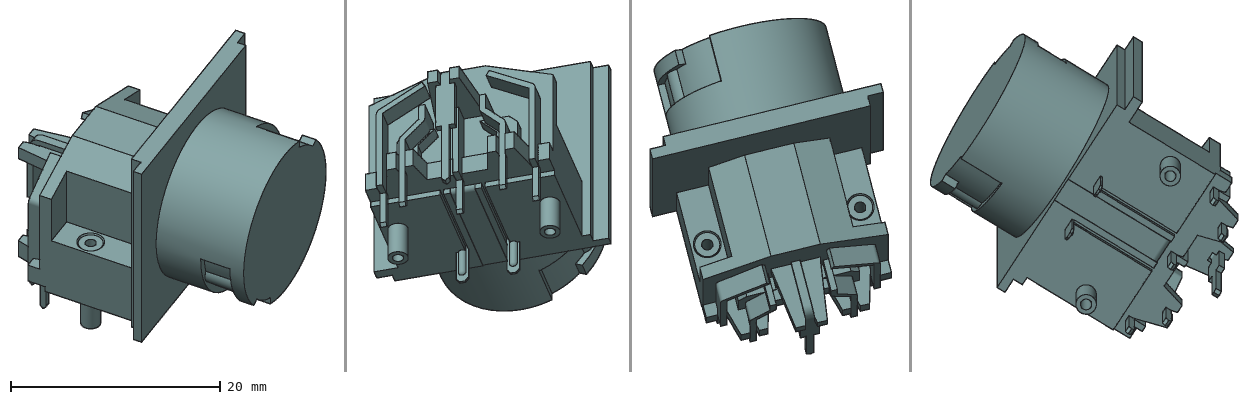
import cadquery as cq
import math


TOTAL_HEIGHT = 24.7

FLANGE_TOP = 21.06
FLANGE_STEP_X = 1.0
FLANGE_FRONT_X = 1.9
FLANGE_WIDE_SIDE = 11.5
FLANGE_NARROW_SIDE = 9.95

BARREL_DIAMETER = 17.0
BARREL_Z = 10.07
BARREL_END_X = 11.33
SLOT_FLOOR_RADIUS = 7.78
SLOT_REAR_X = 6.7
LIP_REAR_X = 9.85
SLOT_END_Y = 3.0
LIP_END_Y = 6.45
LIP_END_DROP = 5.58
LIP_END_ANGLE = math.radians(24)
DETENT_DIAMETER = 2.4
DETENT_ORBIT_RADIUS = 7.03
DETENT_ANGLE = math.radians(24.7)

BODY_REAR_X = -10.32
BODY_HALF_WIDTH = 9.12
BODY_TOP = 14.28
BODY_TOP_HALF_WIDTH = 2.43
BODY_SHOULDER = 11.8
POCKET_REAR_X = -9.07
POCKET_WALL_Y = 5.97
POCKET_FLOOR = 6.6
UNDERCUT_X = -9.75
UNDERCUT_TOP = 0.59
GROOVE_HALF_WIDTH = 1.23
GROOVE_DEPTH = 0.08
CLIP_GROOVE_INNER_Y = 1.87
CLIP_GROOVE_OUTER_Y = 2.23

POST_X = -5.65
POST_Y = 7.53
POST_DIAMETER = 1.95
POST_BORE = 1.05
POST_BOTTOM = -3.45
RECESS_DIAMETER = 2.4
RECESS_RIM_DIAMETER = 2.65
RECESS_DEPTH = 0.125

BAR_REAR_X = -11.6
COMB_TIP_X = -14.1
COMB_TOP = 2.57
MOUTH_DEPTH = 0.59
MOUTH_FLARE = 0.15
INNER_TOOTH_BASE_Y = 2.99
INNER_TOOTH_TIP_Y = 3.68
OUTER_TOOTH_BASE_X = -10.75
OUTER_TOOTH_TIP_Y = 6.33

SUPPORT_INNER_Y = 2.23
SUPPORT_LEG_Y = 3.9
SUPPORT_CHAMFER = 0.85

SHELF_TIP_X = -16.57
SHELF_BOTTOM = 8.25
SHELF_TOP = 9.65
SHELF_TIP_HALF_WIDTH = 1.55

PIN_THICKNESS = 0.6
PIN_TIP_HEIGHT = 0.33
PIN_BOTTOM = -3.45
WALL_PIN_REAR_X = -12.22
WALL_PLATE_BOTTOM = 0.42
WALL_TAIL_X = BODY_REAR_X - PIN_THICKNESS
OUTER_PIN_INNER_Y = 7.25
OUTER_PIN_BEND_Z = 9.1
OUTER_PIN_SLANT_LENGTH = 4.88
OUTER_PIN_SLANT = math.radians(30)
INNER_PIN_REAR_X = -13.48
INNER_PIN_INNER_Y = 4.65
INNER_PIN_BEND_Z = 4.4
INNER_PIN_TOP_Y = 3.32
INNER_PLATE_BOTTOM = 3.05
CENTRE_PIN_REAR_X = -15.95
CENTRE_PIN_TOP = 10.32
CENTRE_PIN_BEND_RADIUS = 1.05
CENTRE_PIN_HALF_WIDTH = 0.45
CENTRE_PLATE_HALF_WIDTH = 0.95
CENTRE_PLATE_BOTTOM = 3.26
CENTRE_TAIL_HALF_WIDTH = 0.35

CLIP_Y = 2.55
CLIP_REAR_X = -0.75
CLIP_FRONT_X = -0.53
CLIP_HALF_WIDTH = 0.6
CLIP_TIP_HALF_WIDTH = 0.28
CLIP_SHOULDER = -3.2
CLIP_BOTTOM = FLANGE_TOP - TOTAL_HEIGHT
BEAD_RADIUS = 0.42
BEAD_REAR_X = -1.0
BEAD_END_Z = -2.48


def box(x_range, y_range, z_range):
    """Axis-aligned block between the given pairs of limits."""
    limits = (x_range, y_range, z_range)
    size = [high - low for low, high in limits]
    return cq.Workplane().box(*size, centered=False).translate([low for low, _ in limits])


def plane_at(x):
    """Workplane for (Y, Z) outlines at the given X, extruding toward +X."""
    return cq.Workplane("YZ", origin=(x, 0, 0))


def cylinder_x(diameter, x_start, x_end):
    """Cylinder about the X axis."""
    return plane_at(x_start).circle(diameter / 2).extrude(x_end - x_start)


def prism_x(outline, x_start, x_end):
    """Prism along X over a (Y, Z) outline."""
    return plane_at(x_start).polyline(outline).close().extrude(x_end - x_start)


def prism_z(outline, z_start, z_end):
    """Prism along Z over an (X, Y) outline."""
    return cq.Workplane(origin=(0, 0, z_start)).polyline(outline).close().extrude(z_end - z_start)


def both_sides(part):
    """The part together with its mirror image across Y = 0."""
    return part.union(part.mirror("XZ"))


def polar(point, distance, angle):
    """Point at a distance and an angle from the given point."""
    return (point[0] + distance * math.cos(angle), point[1] + distance * math.sin(angle))


def make_flange():
    rear = box((0, FLANGE_STEP_X), (-FLANGE_NARROW_SIDE, FLANGE_WIDE_SIDE), (0, FLANGE_TOP))
    front = box((FLANGE_STEP_X, FLANGE_FRONT_X), (-FLANGE_WIDE_SIDE, FLANGE_NARROW_SIDE), (0, FLANGE_TOP))
    return rear.union(front)


def make_bayonet_slot():
    """L-shaped slot on the lower -Y side, relative to the barrel axis."""
    reach = BARREL_DIAMETER / 2
    run = (LIP_END_Y - SLOT_END_Y) / 2
    lip_inner = (-LIP_END_Y + run, -LIP_END_DROP + run * math.tan(LIP_END_ANGLE))
    lip_outer = (-reach, -LIP_END_DROP - (reach - LIP_END_Y) * math.tan(LIP_END_ANGLE))
    turn = box((SLOT_REAR_X, LIP_REAR_X), (-reach, -SLOT_END_Y), (-reach, 0))
    entrance = prism_x(
        [lip_inner, lip_outer, (-reach, -reach), (-SLOT_END_Y, -reach), (-SLOT_END_Y, lip_inner[1])],
        LIP_REAR_X, BARREL_END_X,
    )
    core = cylinder_x(2 * SLOT_FLOOR_RADIUS, SLOT_REAR_X, BARREL_END_X)
    detent_y, detent_z = polar((0, 0), DETENT_ORBIT_RADIUS, math.pi + DETENT_ANGLE)
    detent = cylinder_x(DETENT_DIAMETER, SLOT_REAR_X, LIP_REAR_X).translate((0, detent_y, detent_z))
    return turn.union(entrance).cut(core).cut(detent)


def make_barrel():
    barrel = cylinder_x(BARREL_DIAMETER, FLANGE_STEP_X, BARREL_END_X)
    slot = make_bayonet_slot()
    for turn in (0, 180):
        barrel = barrel.cut(slot.rotate((0, 0, 0), (1, 0, 0), turn))
    return barrel.translate((0, 0, BARREL_Z))


def make_body():
    half_outline = [(BODY_HALF_WIDTH, 0), (BODY_HALF_WIDTH, BODY_SHOULDER), (BODY_TOP_HALF_WIDTH, BODY_TOP)]
    outline = half_outline + [(-y, z) for y, z in reversed(half_outline)]
    body = prism_x(outline, BODY_REAR_X, 0)
    pocket = box((POCKET_REAR_X, 0), (POCKET_WALL_Y, BODY_HALF_WIDTH), (POCKET_FLOOR, BODY_TOP))
    undercut = box((BODY_REAR_X, UNDERCUT_X), (-BODY_HALF_WIDTH, BODY_HALF_WIDTH), (0, UNDERCUT_TOP))
    return body.cut(both_sides(pocket)).cut(undercut)


def make_bottom_grooves():
    """Shallow centre groove with a rounded rear edge, and a narrow groove beside each clip."""
    edge_radius = UNDERCUT_TOP - GROOVE_DEPTH
    groove = (
        cq.Workplane("XZ", origin=(0, GROOVE_HALF_WIDTH, 0))
        .moveTo(UNDERCUT_X, 0)
        .lineTo(FLANGE_FRONT_X, 0)
        .lineTo(FLANGE_FRONT_X, GROOVE_DEPTH)
        .lineTo(UNDERCUT_X + edge_radius, GROOVE_DEPTH)
        .radiusArc((UNDERCUT_X, UNDERCUT_TOP), edge_radius)
        .close()
        .extrude(2 * GROOVE_HALF_WIDTH)
    )
    clip_groove = box(
        (UNDERCUT_X, CLIP_REAR_X), (CLIP_GROOVE_INNER_Y, CLIP_GROOVE_OUTER_Y), (0, UNDERCUT_TOP)
    )
    return groove.union(both_sides(clip_groove))


def make_post():
    return (
        cq.Workplane(origin=(POST_X, POST_Y, POST_BOTTOM))
        .circle(POST_DIAMETER / 2)
        .extrude(-POST_BOTTOM)
    )


def make_post_cuts():
    """Through bore and the conical recess at its upper end."""
    bore = (
        cq.Workplane(origin=(POST_X, POST_Y, POST_BOTTOM))
        .circle(POST_BORE / 2)
        .extrude(POCKET_FLOOR - POST_BOTTOM)
    )
    recess = (
        cq.Workplane(origin=(POST_X, POST_Y, POCKET_FLOOR - RECESS_DEPTH))
        .circle(RECESS_DIAMETER / 2)
        .workplane(offset=RECESS_DEPTH)
        .circle(RECESS_RIM_DIAMETER / 2)
        .loft()
    )
    return bore.union(recess)


def make_comb_half():
    """Rear bar and two guide teeth on the +Y side, with flared mouths beside the pins."""
    outer_pin_outer_y = OUTER_PIN_INNER_Y + PIN_THICKNESS
    inner_pin_outer_y = INNER_PIN_INNER_Y + PIN_THICKNESS
    bar_mouth_x = BAR_REAR_X + MOUTH_DEPTH
    tooth_mouth_x = COMB_TIP_X + MOUTH_DEPTH
    slot_end_x = INNER_PIN_REAR_X + PIN_THICKNESS
    outline = [
        (UNDERCUT_X, 0),
        (BODY_REAR_X, 0),
        (BODY_REAR_X, PIN_THICKNESS / 2),
        (bar_mouth_x, PIN_THICKNESS / 2),
        (BAR_REAR_X, PIN_THICKNESS / 2 + MOUTH_FLARE),
        (BAR_REAR_X, INNER_TOOTH_BASE_Y),
        (COMB_TIP_X, INNER_TOOTH_TIP_Y),
        (COMB_TIP_X, INNER_PIN_INNER_Y - MOUTH_FLARE),
        (tooth_mouth_x, INNER_PIN_INNER_Y),
        (slot_end_x, INNER_PIN_INNER_Y),
        (slot_end_x, inner_pin_outer_y),
        (tooth_mouth_x, inner_pin_outer_y),
        (COMB_TIP_X, inner_pin_outer_y + MOUTH_FLARE),
        (COMB_TIP_X, OUTER_TOOTH_TIP_Y),
        (OUTER_TOOTH_BASE_X, OUTER_PIN_INNER_Y),
        (BODY_REAR_X, OUTER_PIN_INNER_Y),
        (BODY_REAR_X, outer_pin_outer_y),
        (bar_mouth_x, outer_pin_outer_y),
        (BAR_REAR_X, outer_pin_outer_y + MOUTH_FLARE),
        (BAR_REAR_X, BODY_HALF_WIDTH),
        (UNDERCUT_X, BODY_HALF_WIDTH),
    ]
    return prism_z(outline, UNDERCUT_TOP, COMB_TOP)


def make_pin_support():
    """Hook-shaped block behind the +Y inner pin."""
    leg_drop = SUPPORT_LEG_Y - SUPPORT_INNER_Y
    outline = [
        (SUPPORT_LEG_Y, UNDERCUT_TOP),
        (SUPPORT_LEG_Y, POCKET_FLOOR - leg_drop),
        (SUPPORT_INNER_Y, POCKET_FLOOR),
        (POCKET_WALL_Y - SUPPORT_CHAMFER, POCKET_FLOOR),
        (POCKET_WALL_Y, POCKET_FLOOR - SUPPORT_CHAMFER),
        (POCKET_WALL_Y, UNDERCUT_TOP),
    ]
    return prism_x(outline, BAR_REAR_X, BODY_REAR_X)


def make_shelf():
    slot_end_x = CENTRE_PIN_REAR_X + CENTRE_PIN_BEND_RADIUS
    half_outline = [
        (BODY_REAR_X, BODY_TOP_HALF_WIDTH),
        (SHELF_TIP_X, SHELF_TIP_HALF_WIDTH),
        (SHELF_TIP_X, CENTRE_PIN_HALF_WIDTH + MOUTH_FLARE),
        (SHELF_TIP_X + MOUTH_DEPTH, CENTRE_PIN_HALF_WIDTH),
        (slot_end_x, CENTRE_PIN_HALF_WIDTH),
    ]
    outline = half_outline + [(x, -y) for x, y in reversed(half_outline)]
    return prism_z(outline, SHELF_BOTTOM, SHELF_TOP)


def make_pin_tail(x_start, y_start, top):
    """Square tail hanging from top, ending in a wedge with its edge along Y."""
    x_end = x_start + PIN_THICKNESS
    outline = [
        (x_start, top),
        (x_start, PIN_BOTTOM + PIN_TIP_HEIGHT),
        ((x_start + x_end) / 2, PIN_BOTTOM),
        (x_end, PIN_BOTTOM + PIN_TIP_HEIGHT),
        (x_end, top),
    ]
    return (
        cq.Workplane("XZ", origin=(0, y_start + PIN_THICKNESS, 0))
        .polyline(outline)
        .close()
        .extrude(PIN_THICKNESS)
    )


def make_outer_pin():
    """Upright strip on the +Y side whose top leans inward over one bend."""
    inner_bend = (OUTER_PIN_INNER_Y, OUTER_PIN_BEND_Z)
    lean = math.pi - OUTER_PIN_SLANT
    across = lean - math.pi / 2
    slant_end = polar(inner_bend, OUTER_PIN_SLANT_LENGTH, lean)
    plate = (
        plane_at(WALL_PIN_REAR_X)
        .moveTo(OUTER_PIN_INNER_Y, WALL_PLATE_BOTTOM)
        .lineTo(*inner_bend)
        .lineTo(*slant_end)
        .lineTo(*polar(slant_end, PIN_THICKNESS, across))
        .lineTo(*polar(inner_bend, PIN_THICKNESS, across))
        .threePointArc(
            polar(inner_bend, PIN_THICKNESS, across / 2),
            (OUTER_PIN_INNER_Y + PIN_THICKNESS, OUTER_PIN_BEND_Z),
        )
        .lineTo(OUTER_PIN_INNER_Y + PIN_THICKNESS, WALL_PLATE_BOTTOM)
        .close()
        .extrude(BODY_REAR_X - WALL_PIN_REAR_X)
    )
    return plate.union(make_pin_tail(WALL_TAIL_X, OUTER_PIN_INNER_Y, WALL_PLATE_BOTTOM))


def make_inner_pin():
    """Upright strip on the +Y side, offset inward at its top by two 45 degree bends."""
    slant = math.radians(45)
    lower_bend = (INNER_PIN_INNER_Y, INNER_PIN_BEND_Z)
    lower_outer = polar(lower_bend, PIN_THICKNESS, slant)
    upper_bend = (INNER_PIN_TOP_Y, lower_outer[1] + lower_outer[0] - INNER_PIN_TOP_Y)
    plate = (
        plane_at(INNER_PIN_REAR_X)
        .moveTo(INNER_PIN_INNER_Y, INNER_PLATE_BOTTOM)
        .lineTo(*lower_bend)
        .lineTo(*polar(upper_bend, -PIN_THICKNESS, slant))
        .threePointArc(
            polar(upper_bend, -PIN_THICKNESS, slant / 2),
            (INNER_PIN_TOP_Y - PIN_THICKNESS, upper_bend[1]),
        )
        .lineTo(INNER_PIN_TOP_Y - PIN_THICKNESS, SHELF_BOTTOM)
        .lineTo(INNER_PIN_TOP_Y, SHELF_BOTTOM)
        .lineTo(*upper_bend)
        .lineTo(*lower_outer)
        .threePointArc(
            polar(lower_bend, PIN_THICKNESS, slant / 2),
            (INNER_PIN_INNER_Y + PIN_THICKNESS, INNER_PIN_BEND_Z),
        )
        .lineTo(INNER_PIN_INNER_Y + PIN_THICKNESS, INNER_PLATE_BOTTOM)
        .close()
        .extrude(BODY_REAR_X - INNER_PIN_REAR_X)
    )
    return plate.union(make_pin_tail(INNER_PIN_REAR_X, INNER_PIN_INNER_Y, INNER_PLATE_BOTTOM))


def make_centre_pin():
    """Strip running rearward over the shelf, bent down through its slot to a stepped tail."""
    front_x = CENTRE_PIN_REAR_X + PIN_THICKNESS
    bend_x = CENTRE_PIN_REAR_X + CENTRE_PIN_BEND_RADIUS
    bend_z = CENTRE_PIN_TOP - CENTRE_PIN_BEND_RADIUS
    inner_radius = CENTRE_PIN_BEND_RADIUS - PIN_THICKNESS
    strip = (
        cq.Workplane("XZ", origin=(0, CENTRE_PIN_HALF_WIDTH, 0))
        .moveTo(BODY_REAR_X, CENTRE_PIN_TOP)
        .lineTo(bend_x, CENTRE_PIN_TOP)
        .radiusArc((CENTRE_PIN_REAR_X, bend_z), -CENTRE_PIN_BEND_RADIUS)
        .lineTo(CENTRE_PIN_REAR_X, SHELF_BOTTOM)
        .lineTo(front_x, SHELF_BOTTOM)
        .lineTo(front_x, bend_z)
        .radiusArc((bend_x, bend_z + inner_radius), inner_radius)
        .lineTo(BODY_REAR_X, CENTRE_PIN_TOP - PIN_THICKNESS)
        .close()
        .extrude(2 * CENTRE_PIN_HALF_WIDTH)
    )
    half_outline = [
        (CENTRE_PLATE_HALF_WIDTH, SHELF_BOTTOM),
        (CENTRE_PLATE_HALF_WIDTH, CENTRE_PLATE_BOTTOM),
        (CENTRE_TAIL_HALF_WIDTH, CENTRE_PLATE_BOTTOM),
        (CENTRE_TAIL_HALF_WIDTH, PIN_BOTTOM + PIN_TIP_HEIGHT),
    ]
    outline = half_outline + [(0, PIN_BOTTOM)] + [(-y, z) for y, z in reversed(half_outline)]
    return strip.union(prism_x(outline, CENTRE_PIN_REAR_X, front_x))


def make_straight_pin():
    """Flat upright strip on the symmetry plane, between the shelf and the bar slot."""
    half_width = PIN_THICKNESS / 2
    plate = box(
        (WALL_PIN_REAR_X, BODY_REAR_X), (-half_width, half_width), (WALL_PLATE_BOTTOM, SHELF_BOTTOM)
    )
    return plate.union(make_pin_tail(WALL_TAIL_X, -half_width, WALL_PLATE_BOTTOM))


def make_clip():
    """Flat board clip with a tapered tip and a round-ended bead on its rear face."""
    half_outline = [
        (CLIP_HALF_WIDTH, UNDERCUT_TOP),
        (CLIP_HALF_WIDTH, CLIP_SHOULDER),
        (CLIP_TIP_HALF_WIDTH, CLIP_BOTTOM),
    ]
    outline = half_outline + [(-y, z) for y, z in reversed(half_outline)]
    plate = prism_x(outline, CLIP_REAR_X, CLIP_FRONT_X)
    bead_end = cq.Workplane().sphere(BEAD_RADIUS)
    bead = cq.Workplane().circle(BEAD_RADIUS).extrude(UNDERCUT_TOP - BEAD_END_Z).union(bead_end)
    bead = bead.translate((BEAD_REAR_X + BEAD_RADIUS, 0, BEAD_END_Z))
    rear_half = box(
        (BEAD_REAR_X, CLIP_FRONT_X), (-BEAD_RADIUS, BEAD_RADIUS), (CLIP_BOTTOM, UNDERCUT_TOP)
    )
    return plate.union(bead.intersect(rear_half)).translate((0, CLIP_Y, 0))


result = make_flange().union(make_barrel()).union(make_body())
result = result.union(both_sides(make_comb_half())).cut(make_bottom_grooves())
result = result.union(make_shelf()).union(make_centre_pin()).union(make_straight_pin())
for make_feature in (make_pin_support, make_inner_pin, make_outer_pin, make_clip, make_post):
    result = result.union(both_sides(make_feature()))
result = result.cut(both_sides(make_post_cuts()))